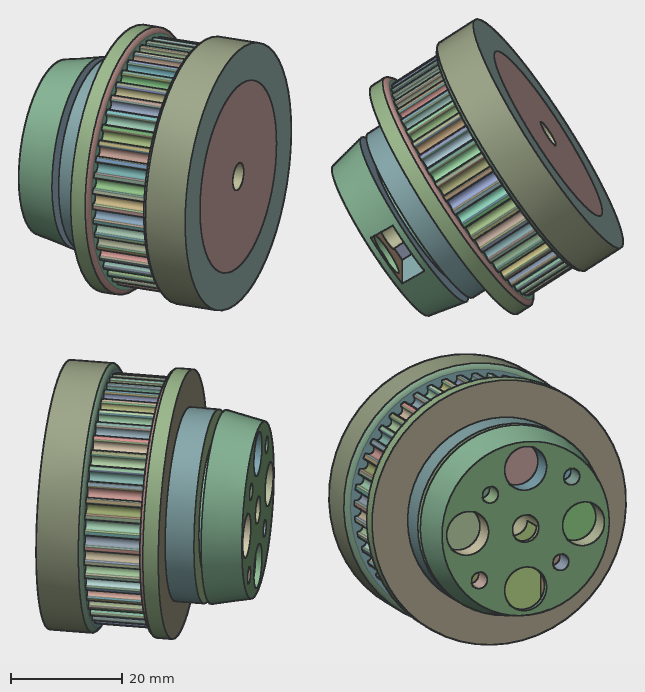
import cadquery as cq
import math


overall_length = 36.0
base_length = 7.15
can_start = 8.45
pulley_start = 13.7
front_flange_width = 3.55
rear_flange_start = 27.55

base_face_diameter = 31.95
can_diameter = 35.0
neck_diameter = 25.0
shaft_hole_diameter = 5.0

vent_diameter = 8.0
vent_radius = 11.1
vent_count = 4
screw_hole_diameter = 3.0
outer_screw_radius = 12.5
inner_screw_radius = 9.5
screw_angle = 45.0
base_hole_depth = 4.5

slot_start = 1.15
slot_end = 5.95
slot_width = 10.2

flange_diameter = 48.6
lip_width = 0.75
lip_drop = 0.95
lip_bulge = 0.12
tooth_count = 48
tooth_tip_diameter = 45.15
groove_radius = 0.91
groove_depth = 1.25
tip_fillet = 0.25
first_groove_angle = -2.5


def cylinder(diameter, start, end):
    """Solid cylinder about the X axis."""
    return cq.Workplane("YZ").workplane(offset=start).circle(diameter / 2).extrude(end - start)


def base_holes(diameter, radius, angles):
    """Blind holes sunk into the base face, placed by polar angle from +Y towards +Z."""
    centres = [
        (radius * math.cos(math.radians(angle)), radius * math.sin(math.radians(angle)))
        for angle in angles
    ]
    return cq.Workplane("YZ").pushPoints(centres).circle(diameter / 2).extrude(base_hole_depth)


def make_motor():
    """Tapered base, narrow neck and cylindrical can, drilled for shaft, vents and screws."""
    base = (
        cq.Workplane("XZ")
        .moveTo(0, 0)
        .lineTo(0, base_face_diameter / 2)
        .lineTo(base_length, can_diameter / 2)
        .lineTo(base_length, 0)
        .close()
        .revolve(360, (0, 0, 0), (1, 0, 0))
    )
    neck = cylinder(neck_diameter, base_length, can_start)
    can = cylinder(can_diameter, can_start, overall_length)
    motor = base.union(neck).union(can)

    vent_angles = [360 / vent_count * i for i in range(vent_count)]
    motor = motor.cut(base_holes(vent_diameter, vent_radius, vent_angles))
    outer_angles = [180 - screw_angle, -screw_angle]
    inner_angles = [screw_angle, 180 + screw_angle]
    motor = motor.cut(base_holes(screw_hole_diameter, outer_screw_radius, outer_angles))
    motor = motor.cut(base_holes(screw_hole_diameter, inner_screw_radius, inner_angles))

    slot_height = can_diameter / 2
    slot = cq.Workplane("XY").box(
        slot_end - slot_start, slot_width, slot_height, centered=(False, True, False)
    )
    motor = motor.cut(slot.translate((slot_start, 0, -slot_height)))
    return motor.cut(cylinder(shaft_hole_diameter, 0, overall_length))


def belt_groove_cutter(start, end):
    """Round-bottomed belt groove at the +Y side, with rounded tooth tips on both flanks."""
    tip_radius = tooth_tip_diameter / 2
    floor_centre = tip_radius - groove_depth + groove_radius
    mouth_half_width = groove_radius + tip_fillet
    fillet_centre_y = math.sqrt((tip_radius - tip_fillet) ** 2 - mouth_half_width**2)
    tangent_scale = tip_radius / (tip_radius - tip_fillet)
    mouth_y = fillet_centre_y * tangent_scale
    mouth_z = mouth_half_width * tangent_scale
    arc_middle_y = fillet_centre_y + tip_fillet * math.sqrt(0.5)
    arc_middle_z = mouth_half_width - tip_fillet * math.sqrt(0.5)
    clear_y = tip_radius + tip_fillet
    return (
        cq.Workplane("YZ")
        .workplane(offset=start)
        .moveTo(mouth_y, -mouth_z)
        .threePointArc((arc_middle_y, -arc_middle_z), (fillet_centre_y, -groove_radius))
        .lineTo(floor_centre, -groove_radius)
        .threePointArc((tip_radius - groove_depth, 0), (floor_centre, groove_radius))
        .lineTo(fillet_centre_y, groove_radius)
        .threePointArc((arc_middle_y, arc_middle_z), (mouth_y, mouth_z))
        .lineTo(clear_y, mouth_z)
        .lineTo(clear_y, -mouth_z)
        .close()
        .extrude(end - start)
    )


def make_flange(outer_face, belt_face):
    """Flange disc whose rim falls away to the belt face in a shallow convex arc."""
    inward = math.copysign(1, belt_face - outer_face)
    rim_radius = flange_diameter / 2
    lip_length = math.hypot(lip_width, lip_drop)
    lip_start = belt_face - inward * lip_width
    lip_middle_x = belt_face - inward * (lip_width / 2 - lip_bulge * lip_drop / lip_length)
    lip_middle_radius = rim_radius - lip_drop / 2 + lip_bulge * lip_width / lip_length
    return (
        cq.Workplane("XZ")
        .moveTo(outer_face, 0)
        .lineTo(outer_face, rim_radius)
        .lineTo(lip_start, rim_radius)
        .threePointArc((lip_middle_x, lip_middle_radius), (belt_face, rim_radius - lip_drop))
        .lineTo(belt_face, 0)
        .close()
        .revolve(360, (0, 0, 0), (1, 0, 0))
    )


def make_pulley():
    """Toothed ring between two flanges, bored to fit the motor can."""
    front_flange_end = pulley_start + front_flange_width
    front_flange = make_flange(pulley_start, front_flange_end)
    rear_flange = make_flange(overall_length, rear_flange_start)

    toothed_ring = cylinder(tooth_tip_diameter, front_flange_end, rear_flange_start)
    groove = belt_groove_cutter(front_flange_end, rear_flange_start)
    grooves = []
    for i in range(tooth_count):
        angle = first_groove_angle + 360 / tooth_count * i
        grooves.append(groove.val().rotate(cq.Vector(0, 0, 0), cq.Vector(1, 0, 0), angle))
    toothed_ring = toothed_ring.cut(cq.Workplane(cq.Compound.makeCompound(grooves)))

    pulley = front_flange.union(toothed_ring).union(rear_flange)
    return pulley.cut(cylinder(can_diameter, pulley_start, overall_length))


motor = make_motor()
pulley = make_pulley()

result = cq.Compound.makeCompound([motor.val(), pulley.val()])